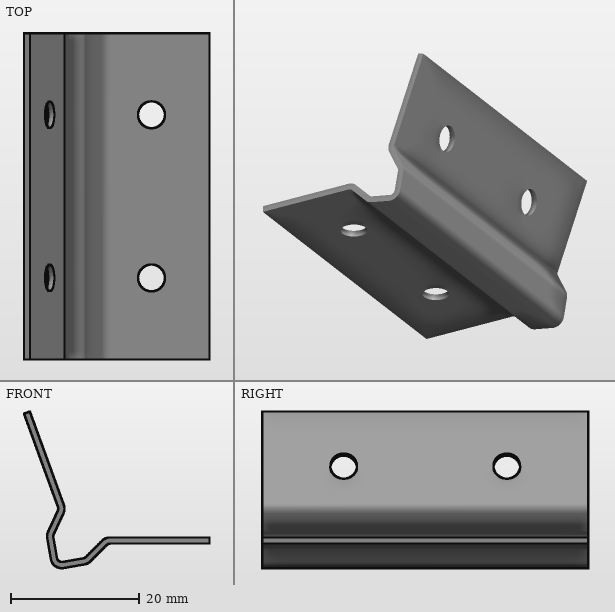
import cadquery as cq
import math

width = 50.8
thickness = 1.0

flange_length = 16.0
neck_length = 4.5
pocket_length = 4.918

flange_turn = 45.0
neck_turn = 35.0
corner_turn = 90.0

inner_bend_radius = 0.75
bend_radius = inner_bend_radius + thickness / 2

hole_diameter = 4.15
hole_spacing = 25.4
hole_from_edge = 9.05

half_leg_lengths = [flange_length, neck_length, pocket_length]
leg_lengths = half_leg_lengths + half_leg_lengths[::-1]
turns = [flange_turn, -neck_turn, -corner_turn, -neck_turn, flange_turn]
first_heading = 180.0


def step(point, heading, distance):
    """Point (x, z) reached from `point` by moving `distance` along `heading` degrees."""
    angle = math.radians(heading)
    return (point[0] + distance * math.cos(angle), point[1] + distance * math.sin(angle))


def leg_headings():
    """Heading of every leg."""
    headings = [first_heading]
    for turn in turns:
        headings.append(headings[-1] + turn)
    return headings


def leg_corners(headings):
    """Sharp mid-surface corners, with the two free edges as first and last points."""
    corners = [(0.0, 0.0)]
    for heading, length in zip(headings, leg_lengths):
        corners.append(step(corners[-1], heading, length))
    origin_x, origin_z = corners[len(corners) // 2]
    return [(x - origin_x, z - origin_z) for x, z in corners]


def make_strip(corners, headings):
    """Sheet section swept along the mid-surface, with a round bend at each corner."""
    path = cq.Workplane("XZ").moveTo(*corners[0])
    for index, turn in enumerate(turns):
        corner = corners[index + 1]
        tangent_length = bend_radius * math.tan(math.radians(abs(turn)) / 2)
        bend_start = step(corner, headings[index], -tangent_length)
        bend_end = step(corner, headings[index + 1], tangent_length)
        path = path.lineTo(*bend_start).tangentArcPoint(bend_end, relative=False)
    path = path.lineTo(*corners[-1])

    edge_x, edge_z = corners[0]
    section = cq.Workplane("YZ", origin=(edge_x, 0, edge_z)).rect(width, thickness)
    return section.sweep(path)


def make_hole_cutters(free_edge, inward_heading):
    """Pair of round cutters square to the flange that ends at `free_edge`."""
    x, z = step(free_edge, inward_heading, hole_from_edge)
    angle = math.radians(inward_heading)
    flange_normal = (-math.sin(angle), 0, math.cos(angle))
    plane = cq.Plane(origin=(x, 0, z), xDir=(0, 1, 0), normal=flange_normal)
    centers = [(-hole_spacing / 2, 0), (hole_spacing / 2, 0)]
    cutters = cq.Workplane(plane).workplane(offset=-thickness).pushPoints(centers)
    return cutters.circle(hole_diameter / 2).extrude(2 * thickness)


def make_part():
    """Bent strip with a pair of holes through each flange."""
    headings = leg_headings()
    corners = leg_corners(headings)
    level_flange_holes = make_hole_cutters(corners[0], headings[0])
    upright_flange_holes = make_hole_cutters(corners[-1], headings[-1] + 180.0)
    strip = make_strip(corners, headings)
    drilled = strip.cut(level_flange_holes).cut(upright_flange_holes)
    return cq.Workplane(drilled.solids().val())


result = make_part()